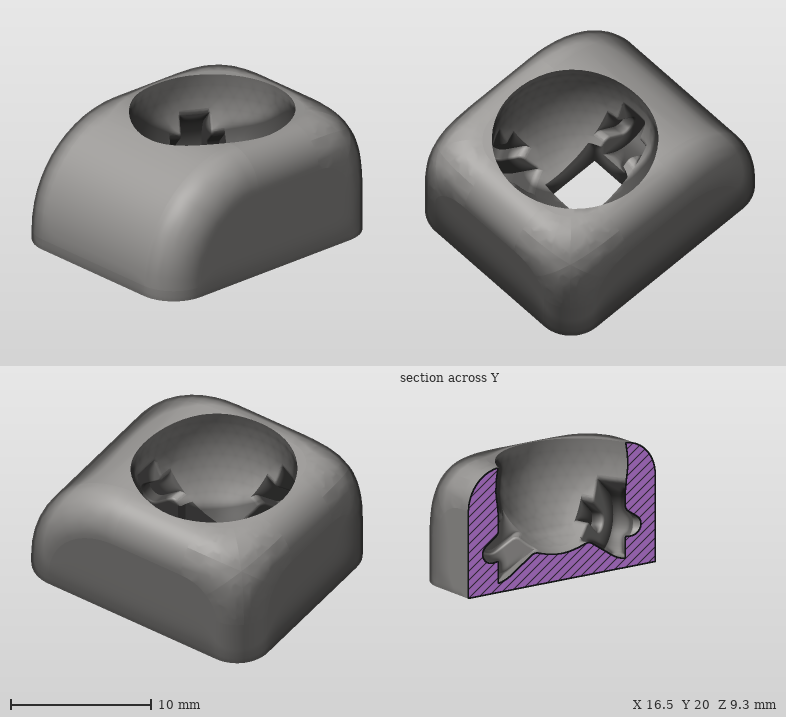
import cadquery as cq
import math

WIDTH = 16.5
LENGTH = 20.0
HEIGHT = 9.3
NOSE_RADIUS = 8.5
TOP_EDGE_RADIUS = 2.85
UPRIGHT_EDGE_RADIUS = 2.65

CORNER_REACH = 2 * TOP_EDGE_RADIUS
CORNER_APEX_DEPTH = 1.47

SOCKET_RADIUS = 6.12
SOCKET_CENTRE_DEPTH = 1.5
SOCKET_CENTRE = cq.Vector(0, 1.55, HEIGHT - SOCKET_CENTRE_DEPTH)

WINDOW_X = 4.05
WINDOW_Y = 4.9
WINDOW_HEIGHT = 3.05
WINDOW_CENTRE_Y = 0.1

SEAT_ANGLES = (-90, 30, 150)
SEAT_TILT = 37.3
AXLE_DISTANCE = 7.85
BEARING_POCKET_RADIUS = 2.38
BEARING_POCKET_WIDTH = 2.2
AXLE_SLOT_RADIUS = 0.75
AXLE_SLOT_LENGTH = 4.05
SLOT_RADII = (BEARING_POCKET_RADIUS, AXLE_SLOT_RADIUS)
MOUTH_ROUNDING = 0.5
WALL_ROUNDING = 0.17

TOLERANCE = 1e-3


def make_block():
    nose_arc_middle = NOSE_RADIUS * (1 - math.sqrt(0.5))
    front = -LENGTH / 2
    back = LENGTH / 2
    block = (
        cq.Workplane("YZ")
        .moveTo(back, 0)
        .lineTo(back, HEIGHT)
        .lineTo(front + NOSE_RADIUS, HEIGHT)
        .threePointArc(
            (front + nose_arc_middle, HEIGHT - nose_arc_middle),
            (front, HEIGHT - NOSE_RADIUS),
        )
        .lineTo(front, 0)
        .close()
        .extrude(WIDTH / 2, both=True)
    )
    block = block.edges("|Z and >Y").fillet(UPRIGHT_EDGE_RADIUS)
    return block.edges(">Z").edges("not <Y").fillet(TOP_EDGE_RADIUS)


def make_corner():
    """Cube at the right, back, top corner, its outer vertex blended by six smooth patches.

    Depths are measured inwards from the side, back and top faces (axes 0, 1 and 2).
    """
    vertex = cq.Vector(WIDTH / 2, LENGTH / 2, HEIGHT)
    inward = (cq.Vector(-1, 0, 0), cq.Vector(0, -1, 0), cq.Vector(0, 0, -1))
    edge_radius = (TOP_EDGE_RADIUS, TOP_EDGE_RADIUS, UPRIGHT_EDGE_RADIUS)
    diagonal = inward[0] + inward[1] + inward[2]
    apex = vertex + diagonal * CORNER_APEX_DEPTH
    innermost = vertex + diagonal * CORNER_REACH

    def section_point(edge, face, angle):
        """Point on the rounding of an edge, at an angle from where it leaves a face."""
        radius = edge_radius[edge]
        other = inward[3 - edge - face]
        face_depth = radius * (1 - math.cos(angle))
        other_depth = radius * (1 - math.sin(angle))
        return vertex + inward[edge] * CORNER_REACH + inward[face] * face_depth + other * other_depth

    def half_section(edge, face):
        angles = (0, math.pi / 8, math.pi / 4)
        return cq.Edge.makeThreePointArc(*[section_point(edge, face, angle) for angle in angles])

    def face_corner(face):
        return innermost - inward[face] * CORNER_REACH

    def face_curve_middle(face):
        """Middle of the rounded curve that ends the flat part of a face."""
        spokes = [section_point(edge, face, 0) - face_corner(face) for edge in range(3) if edge != face]
        return face_corner(face) + (spokes[0] + spokes[1]) * math.sqrt(0.5)

    def half_face_curve(edge, face):
        other = inward[3 - edge - face]
        return cq.Edge.makeSpline(
            [section_point(edge, face, 0), face_curve_middle(face)],
            tangents=[inward[edge] * -1, other - inward[edge]],
        )

    def spoke(end, end_direction):
        """Curve from the apex that leaves square to the diagonal."""
        along_diagonal = diagonal * (end_direction.dot(diagonal) / diagonal.dot(diagonal))
        return cq.Edge.makeSpline([apex, end], tangents=[end_direction - along_diagonal, end_direction])

    def patch(edge, face):
        boundary = [
            spoke(section_point(edge, face, math.pi / 4), inward[edge]),
            half_section(edge, face),
            half_face_curve(edge, face),
            spoke(face_curve_middle(face), diagonal - inward[face]),
        ]
        return cq.Face.makeNSidedSurface(boundary, [])

    def flat(curves, ends, corners):
        points = [ends[0], *corners, ends[1]]
        lines = [cq.Edge.makeLine(start, end) for start, end in zip(points, points[1:])]
        return cq.Face.makeFromWires(cq.Wire.combine(curves + lines)[0])

    faces = []
    for axis in range(3):
        first, second = [other for other in range(3) if other != axis]
        faces.append(patch(axis, first))
        faces.append(patch(axis, second))
        outer_curves = [half_face_curve(first, axis), half_face_curve(second, axis)]
        outer_ends = [section_point(first, axis, 0), section_point(second, axis, 0)]
        faces.append(flat(outer_curves, outer_ends, [face_corner(axis)]))
        inner_curves = [half_section(axis, first), half_section(axis, second)]
        inner_ends = [section_point(axis, first, 0), section_point(axis, second, 0)]
        inner_corners = [face_corner(first), innermost, face_corner(second)]
        faces.append(flat(inner_curves, inner_ends, inner_corners))
    return cq.Workplane(cq.Solid.makeSolid(cq.Shell.makeShell(faces)))


def blend_back_corners(block):
    corner = make_corner()
    cube = (
        cq.Workplane("XY")
        .box(CORNER_REACH, CORNER_REACH, CORNER_REACH, centered=False)
        .translate((WIDTH / 2 - CORNER_REACH, LENGTH / 2 - CORNER_REACH, HEIGHT - CORNER_REACH))
    )
    block = block.cut(cube).union(corner)
    return block.cut(cube.mirror("YZ")).union(corner.mirror("YZ"))


def seat_frame(angle):
    """Plane at the ball centre: local x points out along the seat, local z along the axle."""
    turn = math.radians(angle)
    tilt = math.radians(SEAT_TILT)
    outward = (math.cos(turn) * math.cos(tilt), math.sin(turn) * math.cos(tilt), -math.sin(tilt))
    axle_direction = (math.sin(turn), -math.cos(turn), 0)
    return cq.Plane(origin=(0, 0, 0), xDir=outward, normal=axle_direction)


def make_slot(frame, radius, width):
    """Slot running out from the ball centre to a half-round end at the axle."""
    return (
        cq.Workplane(frame)
        .moveTo(0, radius)
        .lineTo(AXLE_DISTANCE, radius)
        .threePointArc((AXLE_DISTANCE + radius, 0), (AXLE_DISTANCE, -radius))
        .lineTo(0, -radius)
        .close()
        .extrude(width / 2, both=True)
    )


def is_close(first, second):
    return abs(first - second) < TOLERANCE


def is_mouth_edge(edge, frame):
    """True where a flat side of either slot of this seat breaks through the ball."""
    middle = frame.toLocalCoords(edge.positionAt(0.5))
    in_seat = middle.x > 0 and abs(middle.z) < AXLE_SLOT_LENGTH / 2
    on_side = any(is_close(abs(middle.y), radius) for radius in SLOT_RADII)
    return in_seat and on_side and is_close(middle.Length, SOCKET_RADIUS)


def is_wall_edge(edge, frame):
    """True for the outline of this seat's flat pocket end walls, axle slot included."""
    points = [frame.toLocalCoords(edge.positionAt(part)) for part in (0, 0.5, 1)]
    return points[1].x > 0 and all(is_close(abs(point.z), BEARING_POCKET_WIDTH / 2) for point in points)


def add_seat(cavity, angle):
    frame = seat_frame(angle)
    pocket = make_slot(frame, BEARING_POCKET_RADIUS, BEARING_POCKET_WIDTH)
    axle = make_slot(frame, AXLE_SLOT_RADIUS, AXLE_SLOT_LENGTH)
    cavity = cavity.union(pocket).union(axle)
    cavity = cavity.edges().filter(lambda edge: is_mouth_edge(edge, frame)).fillet(MOUTH_ROUNDING)
    cavity = cavity.edges().filter(lambda edge: is_wall_edge(edge, frame)).fillet(WALL_ROUNDING)
    return cavity.union(pocket)


def make_cavity():
    cavity = cq.Workplane("XY").sphere(SOCKET_RADIUS).rotate((0, 0, 0), (0, 0, 1), 90)
    for angle in SEAT_ANGLES:
        cavity = add_seat(cavity, angle)
    return cavity.translate(SOCKET_CENTRE)


window = cq.Workplane("XY").center(0, WINDOW_CENTRE_Y).rect(WINDOW_X, WINDOW_Y).extrude(WINDOW_HEIGHT)
result = blend_back_corners(make_block()).cut(make_cavity()).cut(window)